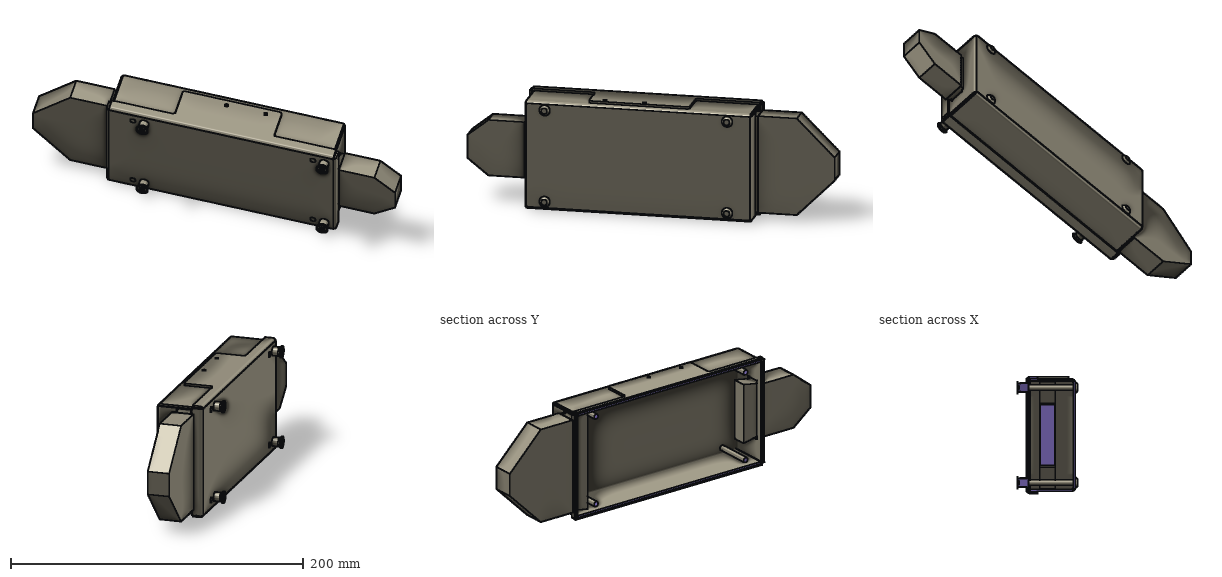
import cadquery as cq

SHEET = 1.5
BEND_RADIUS = 2.5
BEND_INNER = BEND_RADIUS - SHEET
CASE_X = 6.7

COVER_HALF_X = 81.5
COVER_HEIGHT = 80.0
COVER_HALF_Z = COVER_HEIGHT / 2
COVER_FRONT_Y = -14.5
COVER_INSIDE_Y = COVER_FRONT_Y + SHEET
COVER_RIM_Y = -6.7
COVER_FLAP_INSET = 1.8

TAB_LEFT_X = -28.3
TAB_RIGHT_X = 42.2
TAB_BACK_Y = 14.5
TAB_CORNER = 1.8
TAB_HOLE_DIAMETER = 2.3
TAB_HOLE_XS = (3.9, 31.7)
TAB_HOLE_Y = 10.3

HOUSING_HALF_X = 79.5
HOUSING_HALF_Z = COVER_HALF_Z - SHEET
HOUSING_BACK_Y = 19.0
HOUSING_FLAP_INSET = 1.0
HOUSING_RIM_Y = COVER_INSIDE_Y + BEND_INNER

NOSE_REACH = 128.7
NOSE_THICKNESS = 15.5
NOSE_MID_Y = -0.3
NOSE_TIP_HALF_Z = 8.2
LEFT_NOSE_ROOT_X = -75.0
LEFT_NOSE_HALF_Z = 34.5
LEFT_NOSE_SHOULDER_X = -102.2
RIGHT_NOSE_ROOT_X = 88.8
RIGHT_NOSE_HALF_Z = 19.8
RIGHT_NOSE_SHOULDER_X = 114.0
NECK_HALF_Y = 6.7
NECK_STEP_Z = 0.3
TONGUE_HALF_Y = 5.1
TONGUE_LENGTH = 12.9
TONGUE_RISE = 2.3

FASTENER_PITCH_X = 128.0
FASTENER_PITCH_Z = 65.0
FASTENER_Z = FASTENER_PITCH_Z / 2
SCREW_LEFT_X = -47.5
RIVET_LEFT_X = -55.9

SCREW_SHANK_DIAMETER = 6.5
SCREW_NECK_DIAMETER = 6.2
SCREW_HEAD_DIAMETER = 8.2
SCREW_HEAD_Y = -20.8
SCREW_HEAD_THICKNESS = 0.5
SCREW_NECK_LENGTH = 1.5
SOCKET_DIAMETER = 3.3
SOCKET_DEPTH = 1.3

RIVET_SHANK_DIAMETER = 3.9
RIVET_HEAD_DIAMETER = 7.5
RIVET_CROWN_DIAMETER = 4.0
RIVET_HEAD_HEIGHT = 1.8


def block(x0, x1, y0, y1, z0, z1):
    """Box between two opposite corners."""
    return cq.Workplane("XY").box(x1 - x0, y1 - y0, z1 - z0, centered=False).translate((x0, y0, z0))


def cylinder(x, z, diameter, y0, y1):
    """Round bar along Y from y0 to y1."""
    return cq.Workplane("XZ", origin=(x, y0, z)).circle(diameter / 2).extrude(y0 - y1)


def channel(half_x, half_z, face_y, rim_y, fold_axis):
    """U-shaped sheet: a plate at face_y with two flaps, folded at both ends of fold_axis."""
    open_sign = 1 if rim_y > face_y else -1
    inside_y = face_y + open_sign * SHEET
    edge_axis = "Z" if fold_axis == "X" else "X"
    face_side = "<Y" if open_sign > 0 else ">Y"
    inner_x = half_x - SHEET if fold_axis == "X" else half_x
    inner_z = half_z - SHEET if fold_axis == "Z" else half_z
    outside = block(-half_x, half_x, min(face_y, rim_y), max(face_y, rim_y), -half_z, half_z)
    inside = block(-inner_x, inner_x, min(inside_y, rim_y), max(inside_y, rim_y), -inner_z, inner_z)
    outside = outside.faces(face_side).edges(f"|{edge_axis}").fillet(BEND_RADIUS)
    inside = inside.faces(face_side).edges(f"|{edge_axis}").fillet(BEND_INNER)
    return outside.cut(inside)


def tray(half_x, half_z, face_y, rim_y, flap_inset):
    """Open sheet metal box: two crossed channels, the long flaps shortened by flap_inset at each end."""
    end_flaps = channel(half_x, half_z - SHEET, face_y, rim_y, "X")
    long_flaps = channel(half_x - flap_inset, half_z, face_y, rim_y, "Z")
    return end_flaps.union(long_flaps).translate((CASE_X, 0, 0))


def fastener_places(left_x):
    """The four (x, z) corners of a fastener pattern."""
    return [(x, z) for x in (left_x, left_x + FASTENER_PITCH_X) for z in (-FASTENER_Z, FASTENER_Z)]


def upper_tab():
    """Round-cornered tab that rises from the cover's upper flap, with two holes."""
    inner_z = COVER_HALF_Z - SHEET
    tab = block(TAB_LEFT_X, TAB_RIGHT_X, COVER_RIM_Y, TAB_BACK_Y, inner_z, COVER_HALF_Z)
    tab = tab.faces(">Y").edges("|Z").fillet(TAB_CORNER)
    for root_x, side in ((TAB_LEFT_X, -1), (TAB_RIGHT_X, 1)):
        root = (
            cq.Workplane("XY", origin=(root_x, COVER_RIM_Y, inner_z))
            .lineTo(side * TAB_CORNER, 0)
            .radiusArc((0, TAB_CORNER), side * TAB_CORNER)
            .close()
            .extrude(SHEET)
        )
        tab = tab.union(root)
    holes = (
        cq.Workplane("XY", origin=(0, TAB_HOLE_Y, inner_z))
        .pushPoints([(x, 0) for x in TAB_HOLE_XS])
        .circle(TAB_HOLE_DIAMETER / 2)
        .extrude(SHEET)
    )
    return tab.cut(holes)


def make_cover():
    """Front tray with its upper tab and the fastener holes."""
    cover = tray(COVER_HALF_X, COVER_HALF_Z, COVER_FRONT_Y, COVER_RIM_Y, COVER_FLAP_INSET)
    cover = cover.union(upper_tab())
    for x, z in fastener_places(SCREW_LEFT_X):
        cover = cover.cut(cylinder(x, z, SCREW_SHANK_DIAMETER, COVER_FRONT_Y, COVER_INSIDE_Y))
    for x, z in fastener_places(RIVET_LEFT_X):
        cover = cover.cut(cylinder(x, z, RIVET_SHANK_DIAMETER, COVER_FRONT_Y, COVER_INSIDE_Y))
    return cover


def plate_in_xz(half_outline, mid_y, thickness):
    """Plate lying in XZ, mirrored about Z = 0, from the (x, z) points of its upper edge."""
    lower_edge = [(x, -z) for x, z in reversed(half_outline)]
    return (
        cq.Workplane("XZ", origin=(0, mid_y + thickness / 2, 0))
        .polyline(half_outline + lower_edge)
        .close()
        .extrude(thickness)
    )


def add_nose(housing, side, root_x, shoulder_x, half_z):
    """Fix a nose to one end wall of the housing; side is -1 for the left end and 1 for the right."""
    wall_x = CASE_X + side * HOUSING_HALF_X
    wall_inside_x = wall_x - side * SHEET
    tongue_end_x = wall_x - side * TONGUE_LENGTH
    tip_x = side * NOSE_REACH
    neck_half_z = half_z - NECK_STEP_Z
    tongue_half_z = neck_half_z + TONGUE_RISE

    body_outline = [(root_x, half_z), (shoulder_x, half_z), (tip_x, NOSE_TIP_HALF_Z)]
    neck_outline = [(root_x, neck_half_z), (wall_x, neck_half_z)]
    tongue_outline = [(wall_x, neck_half_z), (tongue_end_x, tongue_half_z)]
    window_outline = [(wall_x, tongue_half_z), (wall_inside_x, tongue_half_z)]

    window = plate_in_xz(window_outline, 0, 2 * TONGUE_HALF_Y)
    housing = housing.cut(window)
    housing = housing.union(plate_in_xz(tongue_outline, 0, 2 * TONGUE_HALF_Y))
    housing = housing.union(plate_in_xz(neck_outline, 0, 2 * NECK_HALF_Y))
    return housing.union(plate_in_xz(body_outline, NOSE_MID_Y, NOSE_THICKNESS))


def make_housing():
    """Back tray with the two noses and holes for the rivets."""
    housing = tray(HOUSING_HALF_X, HOUSING_HALF_Z, HOUSING_BACK_Y, HOUSING_RIM_Y, HOUSING_FLAP_INSET)
    housing = add_nose(housing, -1, LEFT_NOSE_ROOT_X, LEFT_NOSE_SHOULDER_X, LEFT_NOSE_HALF_Z)
    housing = add_nose(housing, 1, RIGHT_NOSE_ROOT_X, RIGHT_NOSE_SHOULDER_X, RIGHT_NOSE_HALF_Z)
    for x, z in fastener_places(RIVET_LEFT_X):
        housing = housing.cut(cylinder(x, z, RIVET_SHANK_DIAMETER, HOUSING_BACK_Y - SHEET, HOUSING_BACK_Y))
    return housing


def make_screw(x, z):
    """Screw standing out of the cover: shank, narrower neck and thin head with a round socket."""
    neck_y = SCREW_HEAD_Y + SCREW_HEAD_THICKNESS
    shank_y = neck_y + SCREW_NECK_LENGTH
    screw = cylinder(x, z, SCREW_HEAD_DIAMETER, SCREW_HEAD_Y, neck_y)
    screw = screw.union(cylinder(x, z, SCREW_NECK_DIAMETER, neck_y, shank_y))
    screw = screw.union(cylinder(x, z, SCREW_SHANK_DIAMETER, shank_y, COVER_INSIDE_Y))
    socket = cylinder(x, z, SOCKET_DIAMETER, SCREW_HEAD_Y, SCREW_HEAD_Y + SOCKET_DEPTH)
    return screw.cut(socket)


def make_rivet(x, z):
    """Rivet through the whole case: domed head at the back, shank end flush with the cover."""
    shank = cylinder(x, z, RIVET_SHANK_DIAMETER, COVER_FRONT_Y, HOUSING_BACK_Y)
    head_radius = RIVET_HEAD_DIAMETER / 2
    crown_radius = RIVET_CROWN_DIAMETER / 2
    head = (
        cq.Workplane("XY")
        .lineTo(head_radius, 0)
        .radiusArc((crown_radius, RIVET_HEAD_HEIGHT), -head_radius)
        .lineTo(0, RIVET_HEAD_HEIGHT)
        .close()
        .revolve(360, (0, 0, 0), (0, 1, 0))
        .translate((x, HOUSING_BACK_Y, z))
    )
    return shank.union(head)


cover = make_cover()
housing = make_housing()
screws = [make_screw(x, z) for x, z in fastener_places(SCREW_LEFT_X)]
rivets = [make_rivet(x, z) for x, z in fastener_places(RIVET_LEFT_X)]

result = cq.Compound.makeCompound(
    [
        cover.val(),
        housing.val(),
        *[screw.val() for screw in screws],
        *[rivet.val() for rivet in rivets],
    ]
)